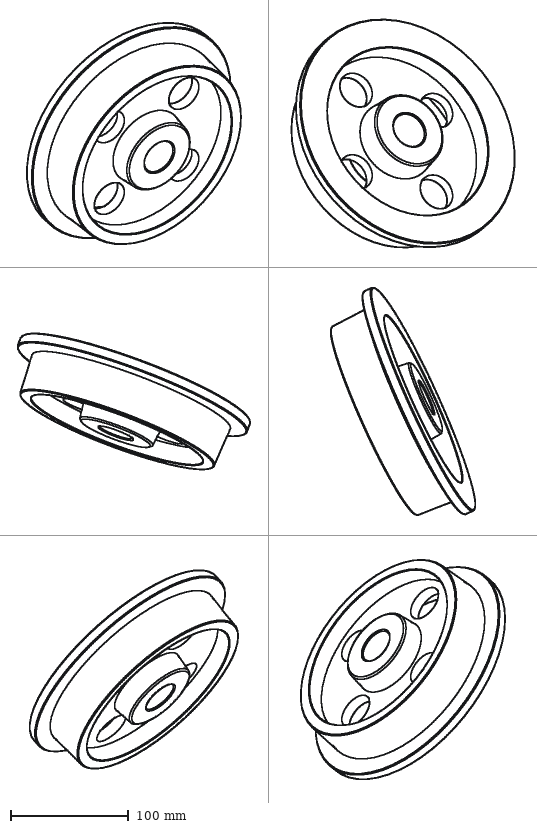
import cadquery as cq
import math

hub_width = 52.0
hub_face_radius = 33.0
hub_root_radius = 35.2
bore_radius = 15.0
bore_chamfer = 1.0
hub_edge_chamfer = 1.5

wheel_radius = 104.2
rim_inset = 3.0
flange_width = 8.8
flange_slope_width = 2.3
tread_start_radius = 90.0
tread_end_radius = 88.2
rim_edge_chamfer = 0.8

web_width = 10.0
flange_recess_depth = 20.5
recess_radius = 77.8
recess_chamfer = 0.6

hole_radius = 15.6
hole_offset = 39.0

rim_start = -hub_width / 2 + rim_inset
rim_end = -rim_start
flange_end = rim_start + flange_width
tread_start = flange_end + flange_slope_width
web_start = rim_start + flange_recess_depth
web_end = web_start + web_width


def revolve_about_axis(points):
    """Close an (axial position, radius) outline and revolve it about X."""
    return cq.Workplane("XY").polyline(points).close().revolve(360, (0, 0, 0), (1, 0, 0))


def make_rim():
    return revolve_about_axis([
        (rim_start, 0),
        (rim_start, wheel_radius - rim_edge_chamfer),
        (rim_start + rim_edge_chamfer, wheel_radius),
        (flange_end - rim_edge_chamfer, wheel_radius),
        (flange_end, wheel_radius - rim_edge_chamfer),
        (tread_start, tread_start_radius),
        (rim_end - rim_edge_chamfer, tread_end_radius),
        (rim_end, tread_end_radius - rim_edge_chamfer),
        (rim_end, 0),
    ])


def make_recess(floor, mouth):
    """Round recess from the web face at floor to a chamfered edge at mouth."""
    inward = math.copysign(recess_chamfer, floor - mouth)
    return revolve_about_axis([
        (floor, 0),
        (floor, recess_radius),
        (mouth + inward, recess_radius),
        (mouth, recess_radius + recess_chamfer),
        (mouth, 0),
    ])


def make_hub():
    """Hub tapering from the web down to a chamfered edge at each end."""
    hub = revolve_about_axis([
        (-hub_width / 2, 0),
        (-hub_width / 2, hub_face_radius),
        (web_start, hub_root_radius),
        (web_end, hub_root_radius),
        (hub_width / 2, hub_face_radius),
        (hub_width / 2, 0),
    ])
    return hub.faces("<X or >X").edges().chamfer(hub_edge_chamfer)


def make_bore():
    """Through bore, chamfered at both ends."""
    end = hub_width / 2
    return revolve_about_axis([
        (-end, 0),
        (-end, bore_radius + bore_chamfer),
        (-end + bore_chamfer, bore_radius),
        (end - bore_chamfer, bore_radius),
        (end, bore_radius + bore_chamfer),
        (end, 0),
    ])


def make_web_holes():
    return (
        cq.Workplane("YZ", origin=(web_start, 0, 0))
        .rect(2 * hole_offset, 2 * hole_offset, forConstruction=True)
        .vertices()
        .circle(hole_radius)
        .extrude(web_width)
    )


wheel = make_rim()
wheel = wheel.cut(make_recess(web_start, rim_start))
wheel = wheel.cut(make_recess(web_end, rim_end))
result = wheel.union(make_hub()).cut(make_bore()).cut(make_web_holes())